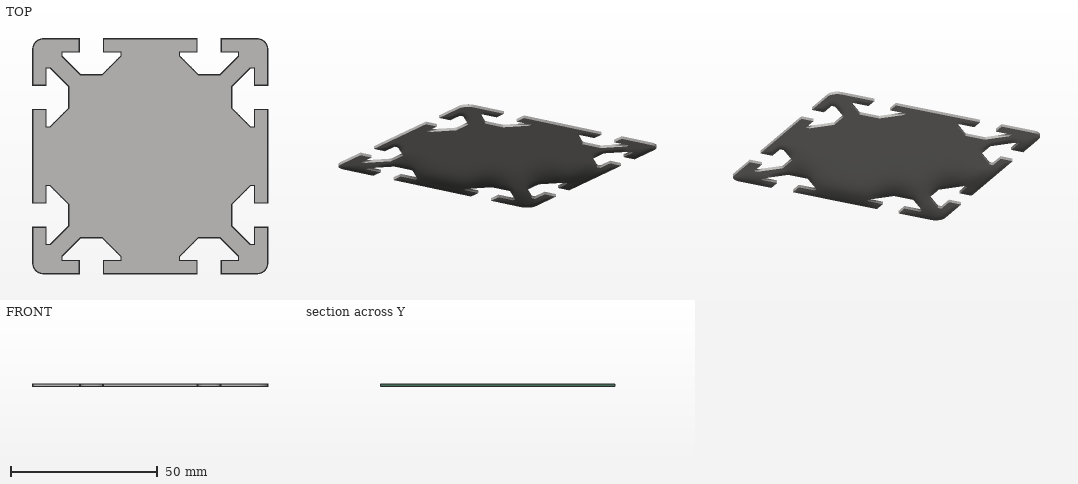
import cadquery as cq

side = 80.0
thickness = 1.0
corner_radius = 3.6

slot_spacing = side / 2
mouth_width = 8.2
lip_depth = 4.6
cavity_width = 20.0
cavity_wall = 1.4
slot_depth = 12.2

floor_width = cavity_width - 2 * (slot_depth - lip_depth - cavity_wall)


def slot_cutter(centre_x):
    """T-slot opening through the -Y edge, with a cavity that tapers to a flat floor."""
    edge_y = -side / 2
    lip_y = edge_y + lip_depth
    shoulder_y = lip_y + cavity_wall
    floor_y = edge_y + slot_depth
    right_half = [
        (mouth_width / 2, edge_y),
        (mouth_width / 2, lip_y),
        (cavity_width / 2, lip_y),
        (cavity_width / 2, shoulder_y),
        (floor_width / 2, floor_y),
    ]
    left_half = [(-x, y) for x, y in reversed(right_half)]
    outline = [(centre_x + x, y) for x, y in right_half + left_half]
    return cq.Workplane("XY").polyline(outline).close().extrude(thickness)


plate = (
    cq.Workplane("XY")
    .rect(side, side)
    .extrude(thickness)
    .edges("|Z")
    .fillet(corner_radius)
)

for edge_angle in (0, 90, 180, 270):
    for centre_x in (-slot_spacing / 2, slot_spacing / 2):
        cutter = slot_cutter(centre_x)
        plate = plate.cut(cutter.rotate((0, 0, 0), (0, 0, 1), edge_angle))

result = plate